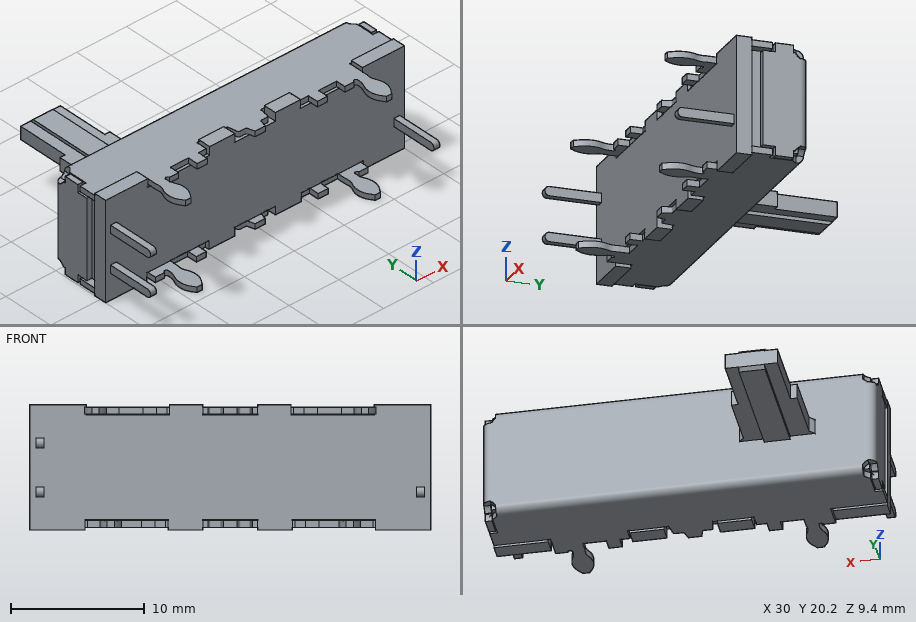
import cadquery as cq
import math


base_length = 30.0
base_width = 9.4
base_thickness = 1.23
clearance = 0.1

sheet = 0.5
cover_width = 9.0
cover_top = 5.73
bend_radius = 0.6
relief_radius = 1.17
relief_trim = math.sqrt(relief_radius**2 - bend_radius**2)
inner_half_length = base_length / 2 - sheet
inner_half_width = cover_width / 2 - sheet

flap_bottom = 2.1
flap_half_width = 3.78
ear_bottom = 3.12
ear_gap_below = 0.25
ear_gap_behind = 0.1

skirt_inner_x = 4.75
skirt_outer_x = 10.6
skirt_bottom = 0.18
skirt_shift = 0.1
notch_clearance = 0.18
foot_width = 2.25
foot_bottom = -0.75
tab_inner_x = 5.52
tab_width = 1.02
tab_bottom = -0.8
middle_notch_half = 2.05

tongue_root_half = 1.68
tongue_step_half = 1.5
tongue_neck_half = 0.72
tongue_tip_half = 0.5
tongue_step = 0.18
tongue_tip = -0.57
tongue_fillet = 0.15

neck_half_outer = 0.5
neck_half_inner = 0.45
waist_y = -1.2
waist_half = 0.48
bulb_top = -1.6
bulb_top_half = 0.6
bulb_middle = -2.4
bulb_half = 0.8
bulb_bottom = -3.57
bulb_bottom_half = 0.4
leg_tip = -3.78
leg_tip_half = 0.27
neck_relief = 0.18

lever_x = -7.5
lever_top = 15.7
shoulder_y = 10.7
grip_width = 4.0
stem_width = 5.0
lever_flare = 0.4
flat_thickness = 1.23
rail_width = 1.98
rail_thickness = 1.8
rail_chamfer = 0.27

pin_x = 14.22
pin_z = 1.83
pin_width = 0.6
pin_depth = 0.75
pin_length = 4.5
pin_tip_radius = 0.35


def block(x_range, y_range, z_range):
    """A box between two limits on each axis, given in either order."""
    spans = [(min(r), max(r)) for r in (x_range, y_range, z_range)]
    size = [high - low for low, high in spans]
    corner = [low for low, high in spans]
    return cq.Workplane("XY").box(*size, centered=False).translate(tuple(corner))


def across(half):
    return (-half, half)


def make_lever():
    bottom = cover_top - sheet
    grip_half = grip_width / 2
    stem_half = stem_width / 2
    foot_half = stem_half + lever_flare
    right_side = [
        (grip_half, lever_top),
        (grip_half, shoulder_y),
        (stem_half, shoulder_y),
        (stem_half, cover_top + lever_flare),
        (foot_half, cover_top),
        (foot_half, bottom),
    ]
    left_side = [(-x, y) for x, y in reversed(right_side)]
    flat = (
        cq.Workplane("XY")
        .polyline(right_side + left_side)
        .close()
        .extrude(flat_thickness / 2, both=True)
    )
    rail = block(across(rail_width / 2), (bottom, lever_top), across(rail_thickness / 2))
    rail = rail.faces(">Y").edges("|X").chamfer(rail_chamfer)
    return flat.union(rail).translate((lever_x, 0, 0))


def cover_can():
    """The bent can, with solid seams where its walls meet."""
    y_range = (base_thickness, cover_top)
    outside = block(across(base_length / 2), y_range, across(cover_width / 2))
    outside = outside.faces(">Y").edges().fillet(bend_radius)
    inside = block(
        across(inner_half_length),
        (base_thickness, cover_top - sheet),
        across(inner_half_width),
    )
    inside = inside.faces(">Y").edges().fillet(bend_radius - sheet)
    return outside.cut(inside)


def flap_gaps(x_sign, z_sign):
    """Gaps that part one end flap and its ear from one side wall."""
    end = x_sign * base_length / 2
    inner = x_sign * inner_half_length
    behind = x_sign * (inner_half_length - ear_gap_behind)
    side = z_sign * cover_width / 2
    flap_edge = z_sign * flap_half_width
    wall_inside = z_sign * inner_half_width
    wall_step = ear_bottom - ear_gap_below
    beside_flap = block((inner, end), (flap_bottom, ear_bottom), (flap_edge, wall_inside))
    below_ear = block((behind, end), (wall_step, ear_bottom), (flap_edge, side))
    behind_ear = block((behind, inner), (wall_step, cover_top - bend_radius), (flap_edge, side))
    return beside_flap.union(below_ear).union(behind_ear)


def relief_profile(plane):
    """Quarter-round cut with its centre at the origin, trimmed straight across the bend."""
    return (
        cq.Workplane(plane)
        .lineTo(relief_trim, 0)
        .lineTo(relief_trim, -bend_radius)
        .radiusArc((0, -relief_radius), relief_radius)
        .close()
        .extrude(bend_radius)
    )


def plate_relief():
    """The same round cut through the top plate, trimmed across both bends."""
    return (
        cq.Workplane("XZ")
        .lineTo(relief_trim, 0)
        .lineTo(relief_trim, bend_radius)
        .radiusArc((bend_radius, relief_trim), -relief_radius)
        .lineTo(0, relief_trim)
        .close()
        .extrude(bend_radius)
    )


def corner_relief(x_sign, z_sign):
    """The cut at one top corner, through the end flap, the side wall and the top plate."""
    through_side = relief_profile("XY")
    through_end = relief_profile("ZY").mirror("YZ")
    cut = through_side.union(through_end).union(plate_relief())
    if x_sign > 0:
        cut = cut.mirror("YZ")
    if z_sign > 0:
        cut = cut.mirror("XY")
    return cut.translate((x_sign * base_length / 2, cover_top, z_sign * cover_width / 2))


def make_leg(x):
    """Leg with its outer (larger X) neck side in line with the edge of the foot."""
    return (
        cq.Workplane("XY")
        .moveTo(x + neck_half_outer, skirt_bottom)
        .lineTo(x + neck_half_outer, foot_bottom)
        .threePointArc((x + waist_half, waist_y), (x + bulb_top_half, bulb_top))
        .threePointArc((x + bulb_half, bulb_middle), (x + bulb_bottom_half, bulb_bottom))
        .lineTo(x + leg_tip_half, leg_tip)
        .lineTo(x - leg_tip_half, leg_tip)
        .lineTo(x - bulb_bottom_half, bulb_bottom)
        .threePointArc((x - bulb_half, bulb_middle), (x - bulb_top_half, bulb_top))
        .threePointArc((x - waist_half, waist_y), (x - neck_half_inner, foot_bottom))
        .lineTo(x - neck_half_inner, skirt_bottom)
        .close()
        .extrude(sheet)
    )


def foot_with_leg():
    """Foot centred on X = 0, with its leg at the +X end."""
    half = foot_width / 2
    leg_x = half - neck_half_outer
    foot = block(across(half), (foot_bottom, skirt_bottom), (0, sheet))
    relief = (
        cq.Workplane("XY")
        .center(leg_x - neck_half_inner - neck_relief, foot_bottom)
        .circle(neck_relief)
        .extrude(sheet)
    )
    return foot.cut(relief).union(make_leg(leg_x))


def skirt(shift, leg_outside):
    """The +X skirt with its foot and its small tab, at Z = 0 to the sheet thickness."""
    strip = block((skirt_inner_x, skirt_outer_x), (skirt_bottom, base_thickness), (0, sheet))
    tab = block((tab_inner_x, tab_inner_x + tab_width), (tab_bottom, skirt_bottom), (0, sheet))
    foot = foot_with_leg()
    if not leg_outside:
        foot = foot.mirror("YZ")
    foot = foot.translate((skirt_outer_x - foot_width / 2, 0, 0))
    return strip.union(tab).union(foot).translate((shift, 0, 0))


def middle_tongue():
    """The stepped tongue at the middle of a side wall."""
    right_side = [
        (tongue_root_half, base_thickness),
        (tongue_step_half, tongue_step),
        (tongue_neck_half, tongue_step),
        (tongue_tip_half, tongue_tip),
    ]
    left_side = [(-x, y) for x, y in reversed(right_side)]
    tongue = cq.Workplane("XY").polyline(right_side + left_side).close().extrude(sheet)
    low, high = tongue_step - tongue_fillet / 2, tongue_step + tongue_fillet / 2
    around_step = cq.selectors.BoxSelector(
        (-tongue_root_half, low, 0), (tongue_root_half, high, sheet)
    )
    return tongue.edges("|Z").edges(around_step).fillet(tongue_fillet)


def side_tabs(shift, leg_outside):
    """Everything that hangs from one side wall."""
    right = skirt(shift, leg_outside)
    return right.union(right.mirror("YZ")).union(middle_tongue())


def make_cover(lever):
    cover = cover_can()
    for x_sign in (-1, 1):
        open_end = block(
            (x_sign * inner_half_length, x_sign * base_length / 2),
            (base_thickness, flap_bottom),
            across(inner_half_width),
        )
        cover = cover.cut(open_end)
        for z_sign in (-1, 1):
            cover = cover.cut(flap_gaps(x_sign, z_sign)).cut(corner_relief(x_sign, z_sign))
    front_tabs = side_tabs(0, True).translate((0, 0, inner_half_width))
    rear_tabs = side_tabs(skirt_shift, False).translate((0, 0, -cover_width / 2))
    return cover.union(front_tabs).union(rear_tabs).cut(lever)


def make_base():
    floor = inner_half_width - clearance
    edge = base_width / 2
    y_range = (0, base_thickness)
    base = block(across(base_length / 2), y_range, across(edge))
    raised = block(
        across(inner_half_length - clearance),
        (base_thickness, cover_top - sheet - clearance),
        across(floor),
    )
    base = base.union(raised)
    for z_sign, shift in ((1, 0), (-1, skirt_shift)):
        z_range = (z_sign * floor, z_sign * edge)
        base = base.cut(block(across(middle_notch_half), y_range, z_range))
        near = skirt_inner_x + shift - notch_clearance
        far = skirt_outer_x + shift + notch_clearance
        for x_sign in (-1, 1):
            base = base.cut(block((x_sign * near, x_sign * far), y_range, z_range))
    return base


def make_pin(x, z):
    pin = block(across(pin_width / 2), (-pin_length, 0), across(pin_depth / 2))
    pin = pin.faces("<Y").edges("|X").fillet(pin_tip_radius)
    return pin.translate((x, 0, z))


lever = make_lever()
cover = make_cover(lever)
base = make_base()
pins = [make_pin(x, z) for x, z in ((-pin_x, pin_z), (-pin_x, -pin_z), (pin_x, -pin_z))]

result = cq.Compound.makeCompound(
    [cover.val(), base.val(), lever.val(), *[pin.val() for pin in pins]]
)